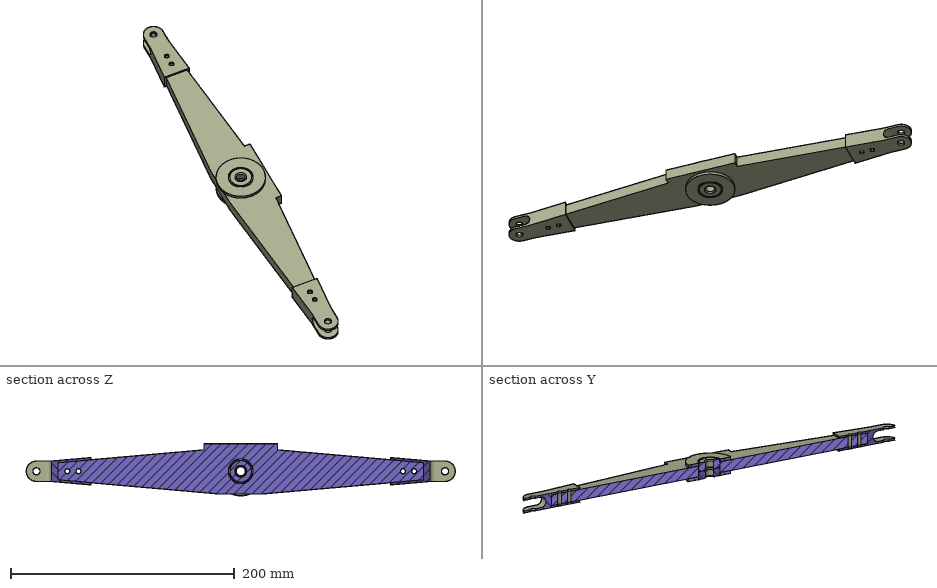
import cadquery as cq
import math


LENGTH = 384.0
WIDTH = 47.0
HUB_HEIGHT = 16.0

BEAM_THICKNESS = 10.8
BEAM_HALF_WIDTH = 20.5
FLAT_HALF_LENGTH = 20.5
TAPER_ANGLE = 5.0
TAB_HALF_LENGTH = 33.0

CLEVIS_HEIGHT = 14.2
CLEVIS_SIDE_WALL = 2.0
FORK_RADIUS = 9.2
FORK_PIN_DIAMETER = 6.0
SLOT_HEIGHT = 9.5
CLEVIS_MOUTH_X = 134.0
FORK_ROOT_X = 169.5
SOCKET_FLOOR = 5.8
RIVET_HOLE_DIAMETER = 4.2
RIVET_HOLE_XS = (145.0, 155.0)

DISC_DIAMETER = 44.0
DISC_BORE_DIAMETER = 22.3
BEARING_DIAMETER = 22.0
BEARING_BORE_DIAMETER = 8.0
BEARING_EDGE_CHAMFER = 1.0

TIP_X = LENGTH / 2
TAB_EDGE_Y = WIDTH - DISC_DIAMETER / 2
FORK_PIN_X = TIP_X - FORK_RADIUS
BEAM_END_X = FORK_ROOT_X - SOCKET_FLOOR
DISC_THICKNESS = (HUB_HEIGHT - BEAM_THICKNESS) / 2
BEARING_WIDTH = HUB_HEIGHT / 2


def beam_half_width_at(x):
    """Half width of the tapered beam at a distance x from the hub axis."""
    return BEAM_HALF_WIDTH - (x - FLAT_HALF_LENGTH) * math.tan(math.radians(TAPER_ANGLE))


def cylinder(diameter, height, x=0.0, bottom_z=None):
    """Upright cylinder, centred on Z = 0 unless its bottom is given."""
    base = -height / 2 if bottom_z is None else bottom_z
    shape = cq.Workplane("XY").center(x, 0).circle(diameter / 2).extrude(height)
    return shape.translate((0, 0, base))


def tapered_bar():
    """Beam before it is drilled: widest at the hub, narrowing to both ends."""
    end = beam_half_width_at(BEAM_END_X)
    outline = [
        (-BEAM_END_X, end),
        (-FLAT_HALF_LENGTH, BEAM_HALF_WIDTH),
        (FLAT_HALF_LENGTH, BEAM_HALF_WIDTH),
        (BEAM_END_X, end),
        (BEAM_END_X, -end),
        (FLAT_HALF_LENGTH, -BEAM_HALF_WIDTH),
        (-FLAT_HALF_LENGTH, -BEAM_HALF_WIDTH),
        (-BEAM_END_X, -end),
    ]
    return cq.Workplane("XY").polyline(outline).close().extrude(BEAM_THICKNESS / 2, both=True)


def make_beam():
    """Tapered bar with a tab along its +Y edge, the hub bore and the rivet holes."""
    tab = cq.Workplane("XY").box(
        2 * TAB_HALF_LENGTH, TAB_EDGE_Y, BEAM_THICKNESS, centered=(True, False, True)
    )
    body = tapered_bar().union(tab)
    body = body.cut(cylinder(BEARING_DIAMETER, BEAM_THICKNESS))
    for side in (-1, 1):
        for x in RIVET_HOLE_XS:
            body = body.cut(cylinder(RIVET_HOLE_DIAMETER, BEAM_THICKNESS, side * x))
    return body


def make_clevis(side):
    """Forked end fitting on the -X (side = -1) or +X (side = 1) end of the beam."""
    mouth = beam_half_width_at(CLEVIS_MOUTH_X) + CLEVIS_SIDE_WALL
    body = (
        cq.Workplane("XY")
        .moveTo(side * CLEVIS_MOUTH_X, mouth)
        .lineTo(side * FORK_ROOT_X, FORK_RADIUS)
        .lineTo(side * FORK_PIN_X, FORK_RADIUS)
        .threePointArc((side * TIP_X, 0), (side * FORK_PIN_X, -FORK_RADIUS))
        .lineTo(side * FORK_ROOT_X, -FORK_RADIUS)
        .lineTo(side * CLEVIS_MOUTH_X, -mouth)
        .close()
        .extrude(CLEVIS_HEIGHT / 2, both=True)
    )

    slot_radius = SLOT_HEIGHT / 2
    round_x = FORK_ROOT_X + slot_radius
    slot = (
        cq.Workplane("XZ")
        .moveTo(side * TIP_X, slot_radius)
        .lineTo(side * round_x, slot_radius)
        .threePointArc((side * FORK_ROOT_X, 0), (side * round_x, -slot_radius))
        .lineTo(side * TIP_X, -slot_radius)
        .close()
        .extrude(FORK_RADIUS, both=True)
    )
    body = body.cut(slot)

    body = body.cut(tapered_bar())
    body = body.cut(cylinder(FORK_PIN_DIAMETER, CLEVIS_HEIGHT, side * FORK_PIN_X))
    for x in RIVET_HOLE_XS:
        body = body.cut(cylinder(RIVET_HOLE_DIAMETER, CLEVIS_HEIGHT, side * x))
    return body


def make_disc(bottom_z):
    """Hub disc that lies flat on one face of the beam."""
    disc = cylinder(DISC_DIAMETER, DISC_THICKNESS, bottom_z=bottom_z)
    return disc.cut(cylinder(DISC_BORE_DIAMETER, DISC_THICKNESS, bottom_z=bottom_z))


def make_bearing(bottom_z):
    """Bearing ring with chamfered rims that fills half the height of the hub."""
    ring = cylinder(BEARING_DIAMETER, BEARING_WIDTH, bottom_z=bottom_z)
    ring = ring.cut(cylinder(BEARING_BORE_DIAMETER, BEARING_WIDTH, bottom_z=bottom_z))
    return ring.edges("%CIRCLE").chamfer(BEARING_EDGE_CHAMFER)


beam = make_beam()
clevises = [make_clevis(side) for side in (-1, 1)]
discs = [make_disc(z) for z in (-HUB_HEIGHT / 2, BEAM_THICKNESS / 2)]
bearings = [make_bearing(z) for z in (-HUB_HEIGHT / 2, 0.0)]

bodies = [beam, *clevises, *discs, *bearings]
result = cq.Compound.makeCompound([body.val() for body in bodies])